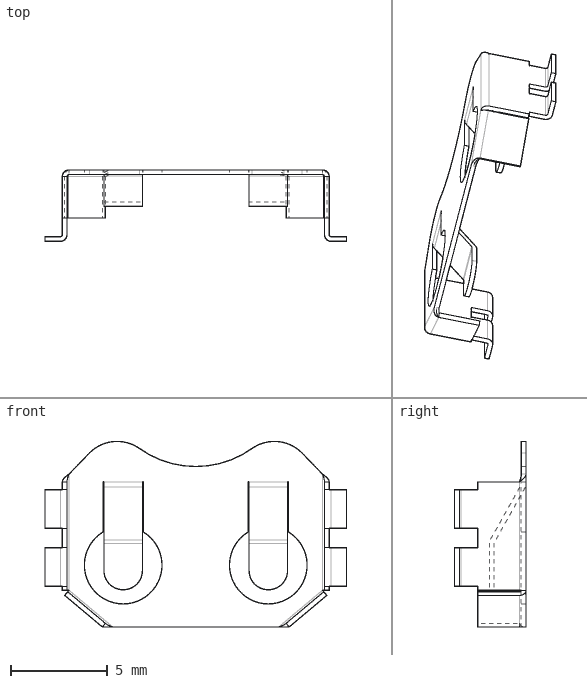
import cadquery as cq
import math


thickness = 0.25
bend_inner = 0.1
bend_outer = bend_inner + thickness

wall_outer_x = 6.9
fold_x = wall_outer_x - bend_outer
corner_z = 1.9
height = 9.6
lobe_radius = 2.0
notch_radius = 5.0
notch_bottom_z = 8.3
shoulder_angle = math.radians(46)

wall_top_z = 7.5
wall_depth = 2.5
foot_tip_x = 7.8
foot_depth = 3.7
foot_height = 2.0
foot_bottoms = (2.1, 5.1)

flange_angle = math.radians(40)

tongue_x = 3.75
tongue_width = 2.0
tongue_top_z = 7.5
tongue_tip_z = 1.92
tongue_angle = math.radians(29.3)
tongue_depth = 1.9
root_bend_inner = 0.55
knee_bend_inner = 0.15
hole_radius = 2.0
hole_z = 3.2
slot_width = 2.06

lobe_z = height - lobe_radius
notch_z = notch_bottom_z + notch_radius
lobe_x = math.sqrt((lobe_radius + notch_radius) ** 2 - (notch_z - lobe_z) ** 2)

shoulder_x = lobe_x + lobe_radius * math.sin(shoulder_angle)
shoulder_z = lobe_z + lobe_radius * math.cos(shoulder_angle)
shoulder_end_z = shoulder_z - (fold_x - shoulder_x) * math.tan(shoulder_angle)

fold_bottom_x = fold_x - corner_z / math.tan(flange_angle)


def both_sides(body):
    """Join a body with its mirror image across X = 0."""
    return body.union(body.mirror("YZ"))


def front_plane():
    """Workplane on the plate's back, facing -Y so that extrusions grow toward the cell side."""
    return cq.Workplane("XZ")


def make_plate():
    share = lobe_radius / (lobe_radius + notch_radius)
    join_x = lobe_x * (1 - share)
    join_z = lobe_z + (notch_z - lobe_z) * share
    return (
        front_plane()
        .moveTo(-fold_bottom_x, 0)
        .lineTo(-fold_x, corner_z)
        .lineTo(-fold_x, shoulder_end_z)
        .lineTo(-shoulder_x, shoulder_z)
        .threePointArc((-lobe_x, height), (-join_x, join_z))
        .threePointArc((0, notch_bottom_z), (join_x, join_z))
        .threePointArc((lobe_x, height), (shoulder_x, shoulder_z))
        .lineTo(fold_x, shoulder_end_z)
        .lineTo(fold_x, corner_z)
        .lineTo(fold_bottom_x, 0)
        .close()
        .extrude(thickness)
    )


def make_flap(plate_length, end_setback):
    """Quarter bend with a flat wall beyond it, set up along Z with the plate edge on the Z axis.

    X points out of the plate and Y toward the cell. The lower end is square. Across the bend,
    the upper end falls evenly with the bend angle until the wall is shorter by end_setback.
    """
    wall_length = plate_length - end_setback
    rims = [
        cq.Wire.makeHelix(4 * end_setback, end_setback, radius, lefthand=True).Edges()[0]
        for radius in (bend_inner, bend_outer)
    ]
    sloped_end = cq.Face.makeRuledSurface(*rims).translate(cq.Vector(0, bend_outer, wall_length))
    sloped_bend = cq.Workplane(cq.Solid.extrudeLinear(sloped_end, cq.Vector(0, 0, -plate_length)))
    square_end = cq.Workplane("XY").rect(2 * bend_outer, 2 * bend_outer).extrude(plate_length)
    wall = (
        cq.Workplane("XY")
        .moveTo(bend_inner, bend_outer)
        .lineTo(bend_outer, bend_outer)
        .lineTo(bend_outer, wall_depth)
        .lineTo(bend_inner, wall_depth)
        .close()
        .extrude(wall_length)
    )
    return sloped_bend.intersect(square_end).union(wall)


def place(body, plane):
    """Move a body from the global axes to the axes of a plane."""
    return cq.Workplane(body.val().moved(plane.location))


def make_side_wall():
    plane = cq.Plane(origin=(-fold_x, 0, corner_z), xDir=(-1, 0, 0), normal=(0, 0, 1))
    return place(make_flap(shoulder_end_z - corner_z, shoulder_end_z - wall_top_z), plane)


def make_foot(bottom_z):
    """Solder foot: the wall runs on past its edge and turns outward."""
    diagonal = math.sqrt(0.5)
    inner_face_x = wall_outer_x - thickness
    centre_x = wall_outer_x + bend_inner
    centre_y = foot_depth - bend_outer
    outer_mid = (-centre_x + bend_outer * diagonal, -centre_y - bend_outer * diagonal)
    inner_mid = (-centre_x + bend_inner * diagonal, -centre_y - bend_inner * diagonal)
    return (
        cq.Workplane("XY", origin=(0, 0, bottom_z))
        .moveTo(-wall_outer_x, -wall_depth)
        .lineTo(-inner_face_x, -wall_depth)
        .lineTo(-inner_face_x, -centre_y)
        .threePointArc(outer_mid, (-centre_x, -foot_depth))
        .lineTo(-foot_tip_x, -foot_depth)
        .lineTo(-foot_tip_x, -foot_depth + thickness)
        .lineTo(-centre_x, -foot_depth + thickness)
        .threePointArc(inner_mid, (-wall_outer_x, -centre_y))
        .close()
        .extrude(foot_height)
    )


def make_flange():
    """Corner flange, square at its upper end and trimmed to the level of the plate's lower edge."""
    sine = math.sin(flange_angle)
    cosine = math.cos(flange_angle)
    setback = bend_outer / math.tan(flange_angle)
    flap = make_flap(corner_z / sine, setback).mirror("XY")
    plane = cq.Plane(origin=(-fold_x, 0, corner_z), xDir=(-sine, 0, -cosine), normal=(-cosine, 0, sine))
    below_plate = (
        cq.Workplane("XY")
        .rect(2 * wall_outer_x, 2 * foot_depth)
        .extrude(-bend_outer)
    )
    return place(flap, plane).cut(below_plate)


def make_opening():
    """Keyhole cutter: a round hole with a slot up to the root of the tongue."""
    hole = front_plane().center(-tongue_x, hole_z).circle(hole_radius).extrude(thickness)
    slot_height = tongue_top_z - hole_z
    slot = (
        front_plane()
        .center(-tongue_x, hole_z + slot_height / 2)
        .rect(slot_width, slot_height)
        .extrude(thickness)
    )
    return hole.union(slot)


def make_tongue():
    """Tongue that leans out of the plate, then turns parallel to it and ends in a round tip."""
    sine = math.sin(tongue_angle)
    cosine = math.cos(tongue_angle)
    half_sine = math.sin(tongue_angle / 2)
    half_cosine = math.cos(tongue_angle / 2)
    root_outer = root_bend_inner + thickness
    knee_outer = knee_bend_inner + thickness

    root_y = -thickness - root_bend_inner
    knee_y = -tongue_depth + knee_outer
    lean_run = root_y - knee_y + (root_bend_inner + knee_outer) * cosine
    knee_z = tongue_top_z - lean_run / math.tan(tongue_angle) - (root_bend_inner + knee_outer) * sine

    def root(radius, sin_turn, cos_turn):
        return (root_y + radius * cos_turn, tongue_top_z - radius * sin_turn)

    def knee(radius, sin_turn, cos_turn):
        return (knee_y - radius * cos_turn, knee_z + radius * sin_turn)

    strip = (
        cq.Workplane("YZ", origin=(-tongue_x - tongue_width / 2, 0, 0))
        .moveTo(0, tongue_top_z)
        .threePointArc(root(root_outer, half_sine, half_cosine), root(root_outer, sine, cosine))
        .lineTo(*knee(knee_bend_inner, sine, cosine))
        .threePointArc(knee(knee_bend_inner, half_sine, half_cosine), knee(knee_bend_inner, 0, 1))
        .lineTo(-tongue_depth + thickness, tongue_tip_z)
        .lineTo(-tongue_depth, tongue_tip_z)
        .lineTo(*knee(knee_outer, 0, 1))
        .threePointArc(knee(knee_outer, half_sine, half_cosine), knee(knee_outer, sine, cosine))
        .lineTo(*root(root_bend_inner, sine, cosine))
        .threePointArc(root(root_bend_inner, half_sine, half_cosine), root(root_bend_inner, 0, 1))
        .close()
        .extrude(tongue_width)
    )
    tip_radius = tongue_width / 2
    silhouette = (
        front_plane()
        .moveTo(-tongue_x - tip_radius, tongue_top_z)
        .lineTo(-tongue_x - tip_radius, tongue_tip_z + tip_radius)
        .threePointArc((-tongue_x, tongue_tip_z), (-tongue_x + tip_radius, tongue_tip_z + tip_radius))
        .lineTo(-tongue_x + tip_radius, tongue_top_z)
        .close()
        .extrude(tongue_depth)
    )
    return strip.intersect(silhouette)


side = make_side_wall().union(make_flange())
for foot_bottom in foot_bottoms:
    side = side.union(make_foot(foot_bottom))

result = make_plate().cut(both_sides(make_opening()))
result = result.union(both_sides(side)).union(both_sides(make_tongue()))